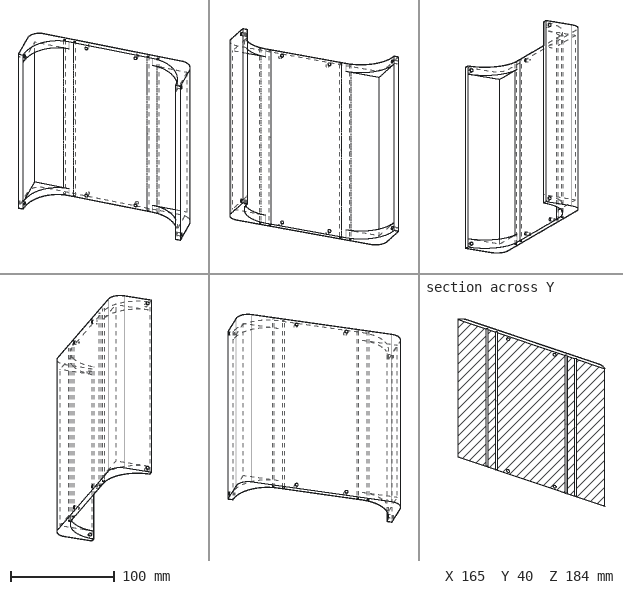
import cadquery as cq

width = 165.0
depth = 40.0
height = 184.0
wall = 5.0
outer_corner_radius = 12.0

gusset_height = 8.5
gusset_radius = depth - wall

screw_hole_diameter = 3.0
screw_edge_distance = 4.0
back_hole_spacing = 50.0

pin_hole_diameter = 1.75
pin_hole_back_distance = 3.5
pin_hole_side_distances = (35.0, 45.0)

half_width = width / 2
half_depth = depth / 2
half_height = height / 2
inner_half_width = half_width - wall
inner_back_y = half_depth - wall


def make_channel():
    """Back wall and two side walls, rounded on the outer corners."""
    block = cq.Workplane("XY").box(width, depth, height)
    block = block.edges("|Z and >Y").fillet(outer_corner_radius)
    cavity = cq.Workplane("XY").box(2 * inner_half_width, depth, height)
    return block.cut(cavity.translate((0, -wall, 0)))


def make_gusset(side, bottom_z):
    """Corner web with a concave quarter-round face; side is -1 or 1."""
    corner_x = side * inner_half_width
    arc_center_x = corner_x - side * gusset_radius
    return (
        cq.Workplane("XY", origin=(0, 0, bottom_z))
        .moveTo(corner_x, -half_depth)
        .lineTo(corner_x, inner_back_y)
        .lineTo(arc_center_x, inner_back_y)
        .radiusArc((corner_x, -half_depth), side * gusset_radius)
        .close()
        .extrude(gusset_height)
    )


def make_back_screw_holes():
    hole_z = half_height - screw_edge_distance
    return (
        cq.Workplane("XZ")
        .rect(back_hole_spacing, 2 * hole_z, forConstruction=True)
        .vertices()
        .circle(screw_hole_diameter / 2)
        .extrude(depth, both=True)
    )


def make_side_screw_holes():
    hole_y = -half_depth + screw_edge_distance
    hole_z = half_height - screw_edge_distance
    return (
        cq.Workplane("YZ")
        .pushPoints([(hole_y, -hole_z), (hole_y, hole_z)])
        .circle(screw_hole_diameter / 2)
        .extrude(width, both=True)
    )


def make_pin_holes():
    hole_y = half_depth - pin_hole_back_distance
    centers = [
        (side * (half_width - distance), hole_y)
        for side in (-1, 1)
        for distance in pin_hole_side_distances
    ]
    return (
        cq.Workplane("XY")
        .pushPoints(centers)
        .circle(pin_hole_diameter / 2)
        .extrude(height, both=True)
    )


result = make_channel()
for side in (-1, 1):
    for bottom_z in (-half_height, half_height - gusset_height):
        result = result.union(make_gusset(side, bottom_z))

result = result.cut(make_back_screw_holes())
result = result.cut(make_side_screw_holes())
result = result.cut(make_pin_holes())